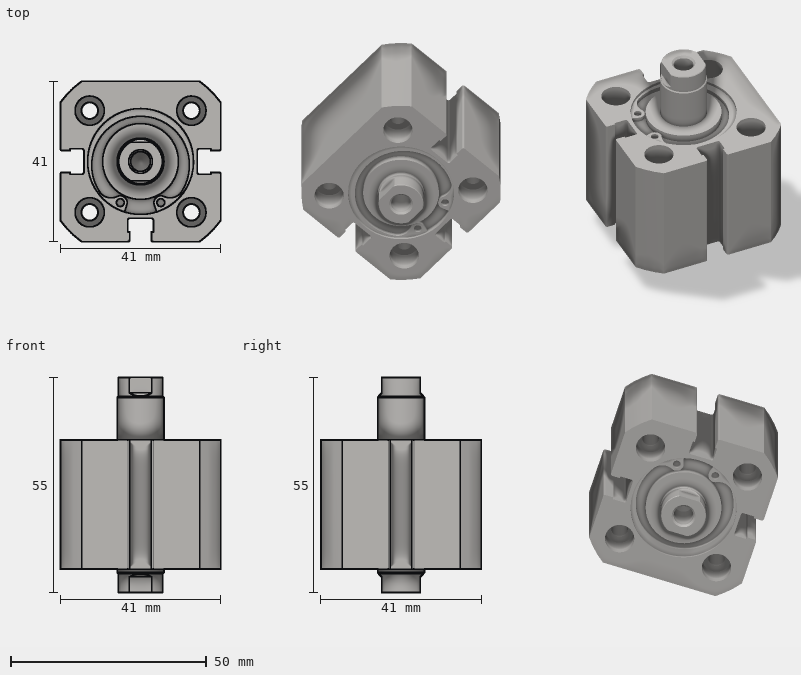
import cadquery as cq
import math

housing_width = 41.0
housing_height = 33.0
side_flat_width = 30.15
housing_top = housing_height
housing_middle = housing_height / 2
half_width = housing_width / 2
corner_radius = math.hypot(half_width, side_flat_width / 2)

slot_mouth_width = 5.5
slot_channel_width = 6.5
slot_mouth_depth = 2.55
slot_depth = 6.0
slot_lip_radius = 0.5
slot_corner_radius = 0.5
slot_turns = (-90, 0, 90)

mounting_pitch = 25.95
mounting_diameter = 4.2
counterbore_diameter = 7.5
counterbore_depth = 7.0

recess_radius = 13.55
recess_depth = 6.6

boss_radius = 9.7
boss_height = 2.0

ring_thickness = 1.2
opening_radius = 12.5
opening_offset = 0.95
eyelet_x = 5.15
eyelet_y = -10.5
eyelet_radius = 1.75
eyelet_hole_radius = 1.0
eyelet_blend_radius = 3.6

rod_length = 55.0
rod_radius = 6.0
rod_bottom = -6.0
rod_top = rod_bottom + rod_length
rod_middle = (rod_bottom + rod_top) / 2
tip_radius = 5.7
tip_length = 4.9
tip_edge_chamfer = 0.15
shoulder_chamfer = rod_radius - tip_radius
wrench_flat_width = 9.9
wrench_flat_length = 4.0
flat_runout_angle = 45
screw_hole_radius = 2.55
screw_hole_depth = 9.9
countersink_radius = 3.0
drill_point_angle = 118


def mirrored_end(body, middle):
    """Copy of a body, reflected to the other end across the plane z = middle."""
    return body.mirror("XY", (0, 0, middle))


def at_angle(center, radius, angle):
    """Point on a circle, with the angle in radians from +X."""
    return (center[0] + radius * math.cos(angle), center[1] + radius * math.sin(angle))


def make_slot():
    """Cutter for the slot on the -Y side, with rounded lips and inner corners."""
    mouth = slot_mouth_width / 2
    channel = slot_channel_width / 2
    outer_y = -half_width
    mouth_y = outer_y + slot_mouth_depth
    bottom_y = outer_y + slot_depth
    lip_x = mouth + slot_lip_radius
    lip_y = outer_y + slot_lip_radius
    bulge = slot_lip_radius * (1 - math.sqrt(0.5))
    slot = (
        cq.Workplane("XY")
        .moveTo(-lip_x, outer_y)
        .lineTo(lip_x, outer_y)
        .threePointArc((mouth + bulge, outer_y + bulge), (mouth, lip_y))
        .lineTo(mouth, mouth_y)
        .lineTo(channel, mouth_y)
        .lineTo(channel, bottom_y)
        .lineTo(-channel, bottom_y)
        .lineTo(-channel, mouth_y)
        .lineTo(-mouth, mouth_y)
        .lineTo(-mouth, lip_y)
        .threePointArc((-mouth - bulge, outer_y + bulge), (-lip_x, outer_y))
        .close()
        .extrude(housing_height)
    )
    return slot.faces(">Y").edges("|Z").fillet(slot_corner_radius)


def make_housing():
    block = cq.Workplane("XY").rect(housing_width, housing_width).extrude(housing_height)
    corner_rounding = cq.Workplane("XY").circle(corner_radius).extrude(housing_height)
    housing = block.intersect(corner_rounding)

    slot = make_slot()
    for turn in slot_turns:
        housing = housing.cut(slot.rotate((0, 0, 0), (0, 0, 1), turn))

    end_recess = (
        cq.Workplane("XY", origin=(0, 0, housing_top - recess_depth))
        .circle(recess_radius)
        .extrude(recess_depth)
    )
    counterbores = (
        cq.Workplane("XY", origin=(0, 0, housing_top - counterbore_depth))
        .rect(mounting_pitch, mounting_pitch, forConstruction=True)
        .vertices()
        .circle(counterbore_diameter / 2)
        .extrude(counterbore_depth)
    )
    for cutter in (end_recess, counterbores):
        housing = housing.cut(cutter).cut(mirrored_end(cutter, housing_middle))

    mounting_holes = (
        cq.Workplane("XY")
        .rect(mounting_pitch, mounting_pitch, forConstruction=True)
        .vertices()
        .circle(mounting_diameter / 2)
        .extrude(housing_height)
    )
    rod_passage = cq.Workplane("XY").circle(rod_radius).extrude(housing_height)
    return housing.cut(mounting_holes).cut(rod_passage)


def make_cover():
    """Cover at the top end of the housing."""
    flange = (
        cq.Workplane("XY", origin=(0, 0, housing_top - recess_depth))
        .circle(recess_radius)
        .circle(rod_radius)
        .extrude(recess_depth - boss_height)
    )
    boss = (
        cq.Workplane("XY", origin=(0, 0, housing_top - boss_height))
        .circle(boss_radius)
        .circle(rod_radius)
        .extrude(boss_height)
    )
    return flange.union(boss)


def make_ring():
    """Retaining ring that lies on the flange of the top cover, with its gap toward -Y."""
    opening_center = (0, -opening_offset)
    eyelet = (eyelet_x, eyelet_y)

    blend_reach = opening_radius - eyelet_blend_radius
    eyelet_gap = eyelet_radius + eyelet_blend_radius
    span_x = eyelet_x
    span_y = eyelet_y + opening_offset
    span = math.hypot(span_x, span_y)
    spread = math.acos((blend_reach**2 + span**2 - eyelet_gap**2) / (2 * blend_reach * span))
    blend_angle = math.atan2(span_y, span_x) + spread
    blend = at_angle(opening_center, blend_reach, blend_angle)
    eyelet_touch_angle = math.atan2(blend[1] - eyelet_y, blend[0] - eyelet_x)
    blend_end_angle = eyelet_touch_angle - math.pi
    blend_middle_angle = (blend_angle + blend_end_angle) / 2

    eyelet_distance = math.hypot(eyelet_x, eyelet_y)
    ray_angle = math.atan2(eyelet_y, eyelet_x) - math.asin(eyelet_radius / eyelet_distance)
    ray_touch_angle = ray_angle + 1.5 * math.pi
    eyelet_middle_angle = (eyelet_touch_angle + ray_touch_angle) / 2

    opening_end = at_angle(opening_center, opening_radius, blend_angle)
    blend_middle = at_angle(blend, eyelet_blend_radius, blend_middle_angle)
    blend_end = at_angle(blend, eyelet_blend_radius, blend_end_angle)
    eyelet_middle = at_angle(eyelet, eyelet_radius, eyelet_middle_angle)
    eyelet_end = at_angle(eyelet, eyelet_radius, ray_touch_angle)
    gap_corner = at_angle((0, 0), recess_radius, ray_angle)

    def left(point):
        return (-point[0], point[1])

    opening_top = (0, opening_radius - opening_offset)
    outline = (
        cq.Workplane("XY", origin=(0, 0, housing_top - boss_height))
        .moveTo(*gap_corner)
        .lineTo(*eyelet_end)
        .threePointArc(eyelet_middle, blend_end)
        .threePointArc(blend_middle, opening_end)
        .threePointArc(opening_top, left(opening_end))
        .threePointArc(left(blend_middle), left(blend_end))
        .threePointArc(left(eyelet_middle), left(eyelet_end))
        .lineTo(*left(gap_corner))
        .threePointArc((0, recess_radius), gap_corner)
        .close()
    )
    eyelet_holes = (
        cq.Workplane("XY", origin=(0, 0, housing_top - boss_height))
        .pushPoints([eyelet, left(eyelet)])
        .circle(eyelet_hole_radius)
        .extrude(ring_thickness)
    )
    return outline.extrude(ring_thickness).cut(eyelet_holes)


def make_wrench_flat():
    """Cutter for the flat on the -Y side of the top rod tip, with a sloped run-out."""
    flat_y = -wrench_flat_width / 2
    outer_y = -rod_radius
    flat_end = rod_top - wrench_flat_length
    runout = (flat_y - outer_y) * math.tan(math.radians(flat_runout_angle))
    return (
        cq.Workplane("YZ", origin=(-rod_radius, 0, 0))
        .polyline([(flat_y, rod_top), (flat_y, flat_end), (outer_y, flat_end - runout), (outer_y, rod_top)])
        .close()
        .extrude(2 * rod_radius)
    )


def make_screw_hole():
    """Cutter for the countersunk blind hole in the top rod tip, with a conical bottom."""
    hole_bottom = rod_top - screw_hole_depth
    cone_height = screw_hole_radius / math.tan(math.radians(drill_point_angle / 2))
    countersink_depth = countersink_radius - screw_hole_radius
    return (
        cq.Workplane("XZ")
        .polyline([
            (0, hole_bottom - cone_height),
            (screw_hole_radius, hole_bottom),
            (screw_hole_radius, rod_top - countersink_depth),
            (countersink_radius, rod_top),
            (0, rod_top),
        ])
        .close()
        .revolve(360, (0, 0, 0), (0, 1, 0))
    )


def make_rod():
    shaft_length = rod_length - 2 * tip_length
    shaft = (
        cq.Workplane("XY", origin=(0, 0, rod_bottom + tip_length))
        .circle(rod_radius)
        .extrude(shaft_length)
        .faces("<Z or >Z")
        .chamfer(shoulder_chamfer)
    )
    core = (
        cq.Workplane("XY", origin=(0, 0, rod_bottom))
        .circle(tip_radius)
        .extrude(rod_length)
        .faces("<Z or >Z")
        .chamfer(tip_edge_chamfer)
    )
    rod = shaft.union(core)

    flat = make_wrench_flat()
    opposite_flat = flat.mirror("XZ")
    for cutter in (flat, opposite_flat, make_screw_hole()):
        rod = rod.cut(cutter).cut(mirrored_end(cutter, rod_middle))
    return rod


housing = make_housing()
rod = make_rod()

covers = []
rings = []
for kind, make_body in ((covers, make_cover), (rings, make_ring)):
    top_body = make_body()
    kind.append(top_body.val())
    kind.append(mirrored_end(top_body, housing_middle).val())

result = cq.Compound.makeCompound([housing.val(), rod.val(), *covers, *rings])